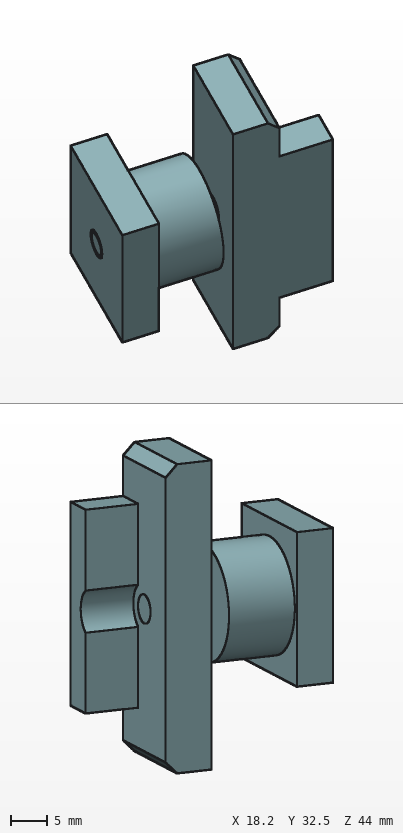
import cadquery as cq


flange_width = 18.2
flange_height = 22.0
flange_thickness = 5.5
hub_diameter = 16.8
hub_length = 10.0

bar_gap = 2.0
plate_width = 14.0
plate_height = 44.0
plate_thickness = 7.0
plate_chamfer = 1.75
key_width = 5.0
key_height = 29.0
key_depth = 8.0
groove_width = 6.0

pin_diameter = 4.1
pin_chamfer = 0.4

hub_back = flange_thickness + hub_length
plate_front = hub_back + bar_gap
plate_back = plate_front + plate_thickness

key_center_x = (plate_width - key_width) / 2
key_inner_x = (plate_width / 2) - key_width

groove_radius = ((groove_width / 2) ** 2 + key_inner_x**2) ** 0.5


def block(width, height, depth, front, center_x=0.0):
    """Rectangular block centred on Z = 0, reaching back from Y = front."""
    return (
        cq.Workplane("XZ", origin=(center_x, front, 0))
        .rect(width, height)
        .extrude(-depth)
    )


def cylinder(diameter, length, front):
    """Round bar about the Y axis, reaching back from Y = front."""
    return cq.Workplane("XZ", origin=(0, front, 0)).circle(diameter / 2).extrude(-length)


def make_grip():
    flange = block(flange_width, flange_height, flange_thickness, 0)
    hub = cylinder(hub_diameter, hub_length, flange_thickness)
    pin_hole = cylinder(pin_diameter, hub_back, 0)
    return flange.union(hub).cut(pin_hole)


def make_bar():
    plate = block(plate_width, plate_height, plate_thickness, plate_front)
    plate = plate.faces(">Y").edges("|X").chamfer(plate_chamfer)
    key = block(key_width, key_height, key_depth, plate_back, key_center_x)
    key_groove = cylinder(2 * groove_radius, key_depth, plate_back)
    pin_hole = cylinder(pin_diameter, plate_thickness, plate_front)
    return plate.union(key.cut(key_groove)).cut(pin_hole)


def make_pin():
    pin = cylinder(pin_diameter, plate_back, 0)
    return pin.faces("<Y").chamfer(pin_chamfer)


grip = make_grip()
bar = make_bar()
pin = make_pin()

result = cq.Compound.makeCompound([grip.val(), bar.val(), pin.val()])